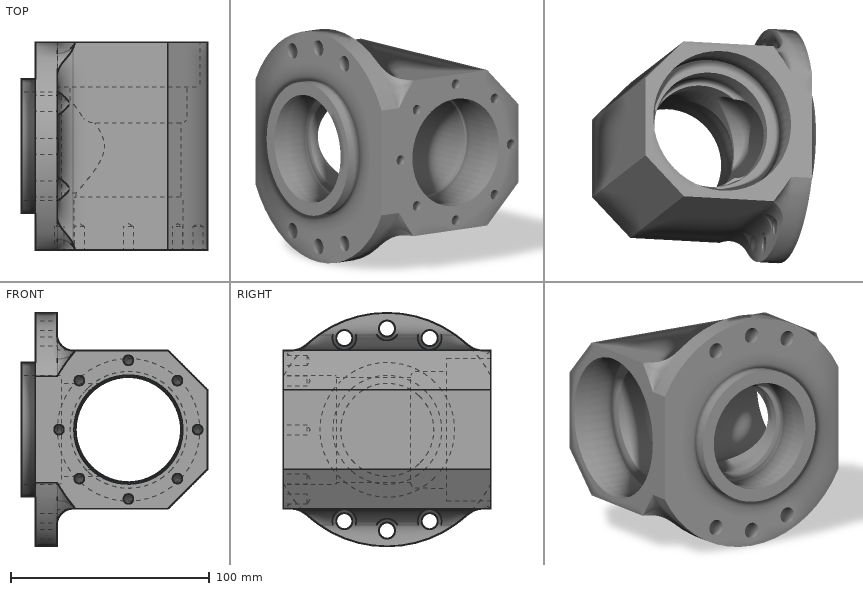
import cadquery as cq
import math

body_width = 105.0
half_width = body_width / 2
body_half_height = 40.0
cross_axis_x = 54.0
body_end_x = cross_axis_x + body_half_height
corner_chamfer = 20.0

spigot_diameter = 68.0
spigot_length = 7.0
flange_diameter = 118.0
flange_thickness = 11.0
flange_back_x = spigot_length + flange_thickness
flange_radius = flange_diameter / 2
flange_fillet = 8.0

corner_flare_radius = 9.5
flare_clearance = 5.0
side_flare_end_overhang = 0.05
side_flare_sections = 6

bolt_circle_radius = 51.0
bolt_pitch_angle = 25.0
bolt_hole_diameter = 8.0
spotface_diameter = 12.0
spotface_length = flange_fillet

seat_diameter = 55.0
seat_depth = 20.0
seat_fillet = 1.0
opening_diameter = 47.0

near_seat_depth = 27.0
land_diameter = seat_diameter - 2 * seat_fillet
recess_start_y = 11.8
recess_fillet = 3.0
recess_diameter = land_diameter + 2 * recess_fillet
far_counterbore_diameter = 72.0
far_counterbore_start_y = 30.0

screw_circle_radius = 35.0
screw_count = 8
screw_hole_diameter = 5.0
screw_hole_depth = 12.0
drill_point_angle = 118.0


def cylinder_x(diameter, start_x, end_x, y=0.0, z=0.0):
    """Cylinder parallel to X between two X positions."""
    return (
        cq.Workplane("YZ", origin=(start_x, y, z))
        .circle(diameter / 2)
        .extrude(end_x - start_x)
    )


def make_body():
    """Block with chamfered far edges and concave fillets spreading onto the flange."""
    fillet_end_x = flange_back_x + flange_fillet
    fillet_top_z = body_half_height + flange_fillet
    fillet_mid_offset = flange_fillet * (1 - math.sqrt(0.5))
    fillet_mid_x = flange_back_x + fillet_mid_offset
    fillet_mid_z = body_half_height + fillet_mid_offset
    chamfer_x = body_end_x - corner_chamfer
    chamfer_z = body_half_height - corner_chamfer
    return (
        cq.Workplane("XZ", origin=(0, half_width, 0))
        .moveTo(flange_back_x, -fillet_top_z)
        .threePointArc((fillet_mid_x, -fillet_mid_z), (fillet_end_x, -body_half_height))
        .lineTo(chamfer_x, -body_half_height)
        .lineTo(body_end_x, -chamfer_z)
        .lineTo(body_end_x, chamfer_z)
        .lineTo(chamfer_x, body_half_height)
        .lineTo(fillet_end_x, body_half_height)
        .threePointArc((fillet_mid_x, fillet_mid_z), (flange_back_x, fillet_top_z))
        .close()
        .extrude(body_width)
    )


def flare_section(angle, flare_radius):
    """Closed section outside the flange radius, in the radial plane at an angle from +Z toward +Y."""
    arc_offset = flare_radius * math.sqrt(0.5)
    outer_radius = flange_radius + flare_radius
    plane = cq.Plane(
        origin=(0, 0, 0),
        xDir=(1, 0, 0),
        normal=(0, -math.cos(angle), math.sin(angle)),
    )
    return (
        cq.Workplane(plane)
        .moveTo(spigot_length, flange_radius)
        .lineTo(flange_back_x, flange_radius)
        .threePointArc(
            (flange_back_x + arc_offset, outer_radius - arc_offset),
            (flange_back_x + flare_radius, outer_radius),
        )
        .lineTo(flange_back_x + flare_radius, outer_radius + flare_clearance)
        .lineTo(spigot_length, outer_radius + flare_clearance)
        .close()
    )


def make_top_flare(corner_angle):
    """Cutter of constant flare radius, from above the flange fillet round to the body corner."""
    sweep = math.degrees(corner_angle)
    return flare_section(corner_angle, corner_flare_radius).revolve(sweep, (0, 0, 0), (1, 0, 0))


def make_side_flare(corner_angle):
    """Cutter from the body corner to the flange flat, over which the flare radius fades away."""
    corner_overhang = half_width / math.sin(corner_angle) - flange_radius
    flat_angle = math.asin(half_width / (flange_radius + side_flare_end_overhang))
    wires = []
    for index in range(side_flare_sections):
        fraction = index / (side_flare_sections - 1)
        angle = corner_angle + (flat_angle - corner_angle) * fraction
        overhang = half_width / math.sin(angle) - flange_radius
        flare_radius = corner_flare_radius * overhang / corner_overhang
        wires.append(flare_section(angle, flare_radius).wires().val())
    return cq.Workplane(cq.Solid.makeLoft(wires))


def trim_body_corners(body):
    """Blend the four front corners of the body into the round flange."""
    corner_angle = math.atan2(half_width, body_half_height)
    for flare in (make_top_flare(corner_angle), make_side_flare(corner_angle)):
        for upper_flare in (flare, flare.mirror("XZ")):
            body = body.cut(upper_flare).cut(upper_flare.mirror("XY"))
    return body


def make_flange():
    """Round flange cut flat to the body width on both sides."""
    disc = cylinder_x(flange_diameter, spigot_length, flange_back_x)
    side_limits = cq.Workplane("XY").box(body_end_x * 2, body_width, flange_diameter)
    return disc.intersect(side_limits)


def make_bolt_cutters():
    """Bolt holes through the flange, with spotfaces clearing the fillet behind it."""
    cutters = cq.Workplane("XY")
    for side in (-1, 1):
        for step in (-1, 0, 1):
            angle = math.radians(step * bolt_pitch_angle)
            y = bolt_circle_radius * math.sin(angle)
            z = side * bolt_circle_radius * math.cos(angle)
            hole = cylinder_x(bolt_hole_diameter, spigot_length, flange_back_x, y, z)
            spotface_end_x = flange_back_x + spotface_length
            spotface = cylinder_x(spotface_diameter, flange_back_x, spotface_end_x, y, z)
            cutters = cutters.add(hole).add(spotface)
    return cutters.combine()


def make_pocket(diameter, start_x, depth, floor_fillet):
    """Round cutter along +X with a rounded edge at its floor."""
    return cylinder_x(diameter, start_x, start_x + depth).faces(">X").edges().fillet(floor_fillet)


def make_flange_bore():
    """Filleted seat and the opening that meets the cross bore."""
    opening = cylinder_x(opening_diameter, 0, cross_axis_x)
    return make_pocket(seat_diameter, 0, seat_depth, seat_fillet).union(opening)


def make_cross_bore():
    """Bore built along X, then turned so that +X becomes +Y."""
    land = cylinder_x(land_diameter, -half_width, half_width)
    near_seat = make_pocket(seat_diameter, -half_width, near_seat_depth, seat_fillet)
    recess_depth = half_width - recess_start_y
    recess = make_pocket(recess_diameter, -half_width, recess_depth, recess_fillet).mirror("YZ")
    counterbore = cylinder_x(far_counterbore_diameter, far_counterbore_start_y, half_width)
    bore_along_x = land.union(near_seat).union(recess).union(counterbore)
    return bore_along_x.rotate((0, 0, 0), (0, 0, 1), 90).translate((cross_axis_x, 0, 0))


def make_screw_cutters():
    """Ring of blind drilled holes with conical bottoms."""
    radius = screw_hole_diameter / 2
    point_length = radius / math.tan(math.radians(drill_point_angle / 2))
    face_y = -half_width
    full_depth_y = face_y + screw_hole_depth
    drill = (
        cq.Workplane("XY")
        .moveTo(0, face_y)
        .lineTo(radius, face_y)
        .lineTo(radius, full_depth_y)
        .lineTo(0, full_depth_y + point_length)
        .close()
        .revolve(360, (0, 0, 0), (0, 1, 0))
    )
    cutters = cq.Workplane("XY")
    for index in range(screw_count):
        angle = 2 * math.pi * index / screw_count
        x = cross_axis_x + screw_circle_radius * math.cos(angle)
        z = screw_circle_radius * math.sin(angle)
        cutters = cutters.add(drill.translate((x, 0, z)))
    return cutters.combine()


body = trim_body_corners(make_body())
spigot = cylinder_x(spigot_diameter, 0, spigot_length)
result = (
    body.union(make_flange())
    .union(spigot)
    .cut(make_bolt_cutters())
    .cut(make_flange_bore())
    .cut(make_cross_bore())
    .cut(make_screw_cutters())
)